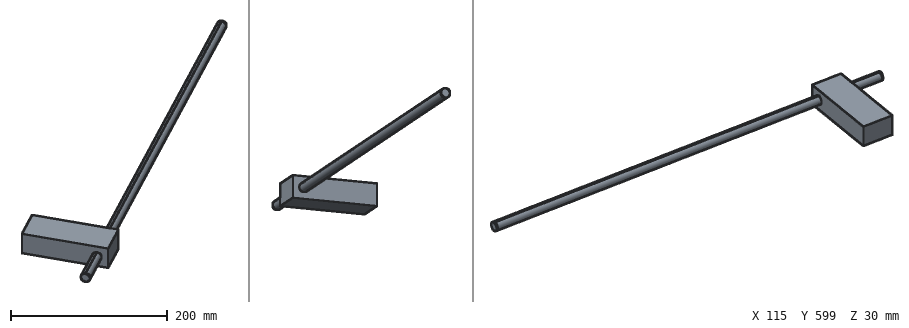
import cadquery as cq

block_width = 115.0
block_depth = 45.0
block_height = 30.0

rod_length = 599.0
sleeve_diameter = 12.5
rod_to_block_side = 15.0
front_overhang = 51.0

sleeve_wall = 0.1
bare_end = 2.0
slit_width = 0.1

rod_diameter = sleeve_diameter - 2 * sleeve_wall
sleeve_length = rod_length - 2 * bare_end
rod_x = block_width / 2 - rod_to_block_side
rod_front_y = -rod_length / 2
block_center_y = rod_front_y + front_overhang + block_depth / 2


def cylinder_on_axis(diameter, length):
    """Cylinder on the rod's axis, centred on the rod's length."""
    front_plane = cq.Workplane("XZ", origin=(rod_x, -length / 2, 0))
    return front_plane.circle(diameter / 2).extrude(-length)


def make_rod():
    """Plain round rod."""
    return cylinder_on_axis(rod_diameter, rod_length)


def make_sleeve():
    """Thin tube around the rod, slit along its top over its full length."""
    tube = cylinder_on_axis(sleeve_diameter, sleeve_length).cut(make_rod())
    slit = cq.Workplane("XY", origin=(rod_x, 0, 0)).box(
        slit_width, sleeve_length, sleeve_diameter, centered=(True, True, False)
    )
    return tube.cut(slit)


def make_block():
    """Rectangular block with a through hole that fits the sleeve."""
    body = cq.Workplane("XY", origin=(0, block_center_y, 0)).box(block_width, block_depth, block_height)
    return body.cut(cylinder_on_axis(sleeve_diameter, rod_length))


block = make_block()
rod = make_rod()
sleeve = make_sleeve()

result = cq.Compound.makeCompound([block.val(), rod.val(), *sleeve.vals()])